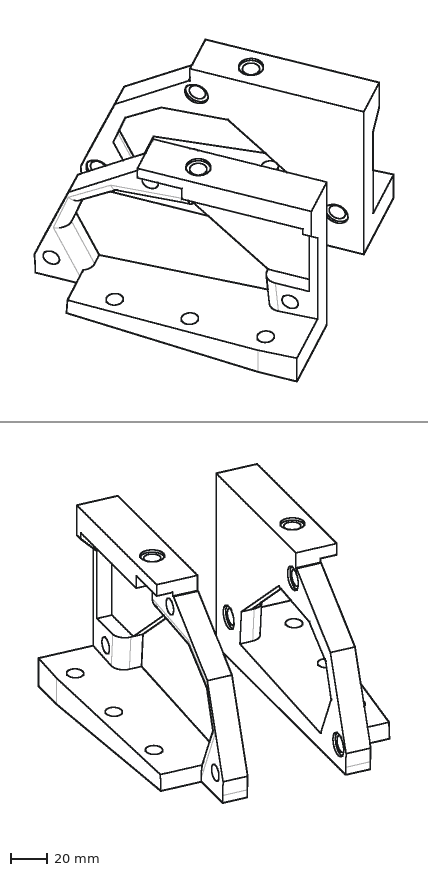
import cadquery as cq


length = 165.5
height = 108.0
outer_width = 156.6
base_depth = 48.3
inner_face_y = outer_width / 2 - base_depth

frame_depth = 15.0
web_depth = 6.0
edge_round = 7.5
rail_start_x = 63.9
frame_outline = [
    (0.5, 0),
    (length, 0),
    (length, height),
    (rail_start_x, height),
    (rail_start_x, 98.5),
    (63.1, 98.5),
    (20.0, 67.0),
    (0, 13.5),
    (0.5, 5.0),
]

pocket_left_x = 89.9
pocket_right_x = 160.6
pocket_top_z = 93.0
foot_top_z = 37.1

window_floor_z = 1.7
foot_corner = (133.3, foot_top_z)
foot_bottom = (136.5, window_floor_z)
web_corner = (86.1, 76.3)
pad_corner = (90.7, 76.5)
rounded_path = [
    (36.8, window_floor_z),
    (19.0, 38.1),
    (26.0, 58.6),
    (47.2, 73.2),
    web_corner,
    pad_corner,
]
pocket_corners = [
    (pocket_left_x, 83.8),
    (pocket_left_x, pocket_top_z),
    (pocket_right_x, pocket_top_z),
    (pocket_right_x, foot_top_z),
]
window_outline = rounded_path + pocket_corners + [foot_corner, foot_bottom]
web_outline = [web_corner] + pocket_corners + [foot_corner]

rail_depth = 25.0
rail_side_bottom_z = 89.0
lip_bottom_z = 100.8

base_start_x = 27.7
base_start_depth = 39.7
base_taper_end_x = 142.7
base_low_z = 10.1
base_start_lean = 0.58
base_high_z = 17.7

hole_diameter = 9.5
counterbore_diameter = 13.5
counterbore_depth = 1.5
frame_hole_centers = [(10.0, 14.4), (67.7, 90.0), (149.5, 25.7)]
base_hole_centers = [(53.0, 31.8), (98.0, 34.8), (143.0, 36.8)]
rail_hole_center = (95.0, 12.7)


def side_plate(outline, start_depth, end_depth):
    """Extrude an (x, z) outline from one depth to another."""
    plane = cq.Workplane("XZ", origin=(0, inner_face_y + start_depth, 0))
    return plane.polyline(outline).close().extrude(start_depth - end_depth)


def segment_middle(start, end):
    """Midpoint, on the outer face of the frame, of a straight (x, z) segment."""
    return cq.Vector((start[0] + end[0]) / 2, inner_face_y + frame_depth, (start[1] + end[1]) / 2)


def frame():
    """Upright plate with its window, the window's outer edges rounded, and a thin web in the pocket."""
    plate = side_plate(frame_outline, 0, frame_depth)
    plate = plate.cut(side_plate(window_outline, 0, frame_depth))
    segments = list(zip(rounded_path, rounded_path[1:])) + [(foot_corner, foot_bottom)]
    rounded_edges = [
        min(plate.edges().vals(), key=lambda edge: (edge.Center() - segment_middle(*segment)).Length)
        for segment in segments
    ]
    plate = plate.newObject(rounded_edges).fillet(edge_round)
    return plate.union(side_plate(web_outline, 0, web_depth))


def rail_overhang():
    """Flange outside the frame, cut away beside the upper pad and above the pocket."""
    overhang = rail_depth - frame_depth
    profile = [
        (inner_face_y + frame_depth, height),
        (inner_face_y + rail_depth, height),
        (inner_face_y + rail_depth, rail_side_bottom_z),
        (inner_face_y + frame_depth, rail_side_bottom_z - overhang),
    ]
    flange = (
        cq.Workplane("YZ", origin=(rail_start_x, 0, 0))
        .polyline(profile)
        .close()
        .extrude(length - rail_start_x)
    )
    clearance = [
        (rail_start_x, 0),
        (rail_start_x, lip_bottom_z),
        (pocket_left_x, lip_bottom_z),
        (pocket_left_x, pocket_top_z),
        (pocket_right_x, pocket_top_z),
        (pocket_right_x, 0),
    ]
    return flange.cut(side_plate(clearance, frame_depth, rail_depth))


def base():
    """Tapered foot with a top that rises toward +X and a slightly leaning -X end."""
    wedge = side_plate(
        [(base_start_x, 0), (length, 0), (length, base_high_z), (base_start_x + base_start_lean, base_low_z)],
        0,
        base_depth,
    )
    footprint = (
        cq.Workplane("XY", origin=(0, inner_face_y, 0))
        .polyline([
            (base_start_x, 0),
            (length, 0),
            (length, base_depth),
            (base_taper_end_x, base_depth),
            (base_start_x, base_start_depth),
        ])
        .close()
        .extrude(height)
    )
    return wedge.intersect(footprint)


def base_holes():
    """Vertical screw holes through the base."""
    return (
        cq.Workplane("XY", origin=(0, inner_face_y, 0))
        .pushPoints(base_hole_centers)
        .circle(hole_diameter / 2)
        .extrude(base_high_z)
    )


def frame_holes():
    """Cross holes through the frame, counterbored from the inner face."""
    inner_face = cq.Workplane("XZ", origin=(0, inner_face_y, 0)).pushPoints(frame_hole_centers)
    bores = inner_face.circle(hole_diameter / 2).extrude(-frame_depth)
    return bores.union(inner_face.circle(counterbore_diameter / 2).extrude(-counterbore_depth))


def rail_hole():
    """Vertical hole through the rail into the pocket, counterbored from the top."""
    top_face = cq.Workplane("XY", origin=(0, inner_face_y, height)).pushPoints([rail_hole_center])
    bore = top_face.circle(hole_diameter / 2).extrude(pocket_top_z - height)
    return bore.union(top_face.circle(counterbore_diameter / 2).extrude(-counterbore_depth))


def bracket():
    """One complete bracket on the +Y side."""
    body = frame().union(rail_overhang()).union(base())
    return body.cut(base_holes()).cut(frame_holes()).cut(rail_hole())


left_bracket = bracket()
right_bracket = left_bracket.mirror("XZ")

result = cq.Compound.makeCompound([left_bracket.val(), right_bracket.val()])